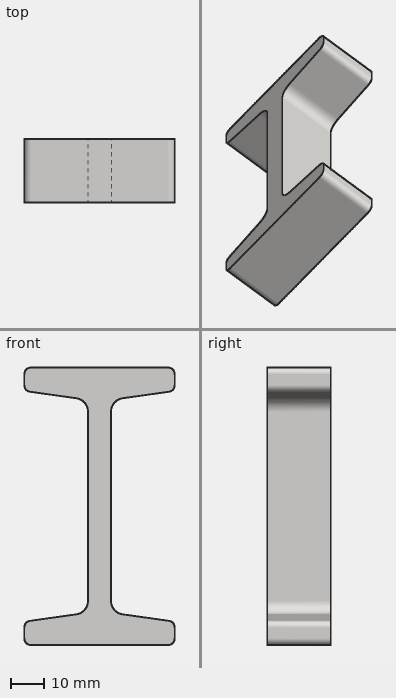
import cadquery as cq
import math

height = 83.0
flange_width = 45.0
length = 19.0
web_thickness = 7.0
flange_tip_thickness = 7.05
flange_slope = 8.0
tip_radius = 2.0
web_radius = 4.0

half_height = height / 2
half_width = flange_width / 2
half_web = web_thickness / 2
tip_z = half_height - flange_tip_thickness
root_z = tip_z - (half_width - half_web) * math.tan(math.radians(flange_slope))

right_side = [
    (half_width, -half_height),
    (half_width, -tip_z),
    (half_web, -root_z),
    (half_web, root_z),
    (half_width, tip_z),
    (half_width, half_height),
]
left_side = [(-x, z) for x, z in reversed(right_side)]

beam = (
    cq.Workplane("XZ")
    .polyline(right_side + left_side)
    .close()
    .extrude(length / 2, both=True)
)

web_zone = cq.selectors.BoxSelector(
    (-web_thickness, -length, -half_height),
    (web_thickness, length, half_height),
)
beam = beam.edges("|Y").edges(web_zone).fillet(web_radius)
result = beam.faces("<X or >X").edges("|Y").fillet(tip_radius)